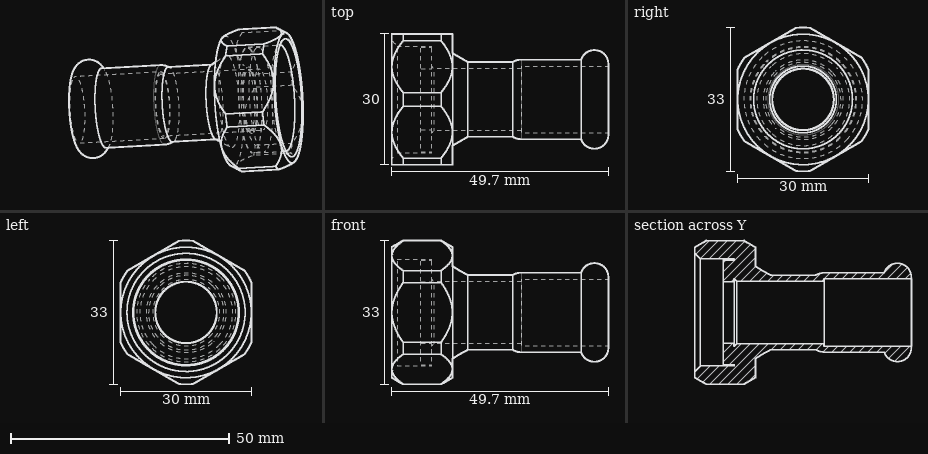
import cadquery as cq
import math

TOTAL_LENGTH = 49.7

NUT_LENGTH = 14.0
NUT_ACROSS_FLATS = 30.0
NUT_CORNER_DIAMETER = 33.0
NUT_FACE_DIAMETER = 29.9
NUT_CHAMFER_ANGLE = 30.0
NUT_BORE_DIAMETER = 24.4
NUT_MOUTH_DIAMETER = 27.1

FLANGE_DEPTH = 6.55
FLANGE_THICKNESS = 2.55
FLANGE_DIAMETER = 24.0
FLANGE_HOLE_DIAMETER = 14.0

CONE_DIAMETER = 21.15
CONE_ANGLE = 30.0
NECK_DIAMETER = 17.2
NECK_BORE_DIAMETER = 14.2
NECK_MOUTH_DIAMETER = 15.3
NECK_END = 27.8
BODY_DIAMETER = 18.3
BODY_START = 29.65
SOCKET_DIAMETER = 15.3
BEAD_DIAMETER = 22.65
BEAD_WIDTH = 6.45

FLANGE_BACK = FLANGE_DEPTH + FLANGE_THICKNESS
QUARTER_TURN = 90.0
FULL_TURN = 360.0


def disc(diameter, start, end):
    """Cylinder along X between two stations."""
    return cq.Workplane("YZ", origin=(start, 0, 0)).circle(diameter / 2).extrude(end - start)


def revolve_about_x(outline):
    """Solid of revolution about the X axis from a closed outline."""
    return outline.close().revolve(FULL_TURN, (0, 0, 0), (1, 0, 0))


def cone(start_diameter, end_diameter, start, end):
    """Truncated cone along X between two stations."""
    profile = [(start, 0), (start, start_diameter / 2), (end, end_diameter / 2), (end, 0)]
    return revolve_about_x(cq.Workplane("XY").polyline(profile))


def nut_blank():
    """Hexagon with corners on +Z and -Z, rounded at the corners and chamfered at both ends."""
    hexagon = (
        cq.Workplane("YZ")
        .transformed(rotate=(0, 0, QUARTER_TURN))
        .polygon(6, NUT_ACROSS_FLATS / math.cos(math.pi / 6))
        .extrude(NUT_LENGTH)
    )
    face_radius = NUT_FACE_DIAMETER / 2
    corner_radius = NUT_CORNER_DIAMETER / 2
    chamfer = (corner_radius - face_radius) / math.tan(math.radians(NUT_CHAMFER_ANGLE))
    envelope = revolve_about_x(
        cq.Workplane("XY")
        .polyline([
            (0, 0),
            (0, face_radius),
            (chamfer, corner_radius),
            (NUT_LENGTH - chamfer, corner_radius),
            (NUT_LENGTH, face_radius),
            (NUT_LENGTH, 0),
        ])
    )
    return hexagon.intersect(envelope)


def nut_recess():
    """Bore in front of the flange, its 45 degree mouth and the clearance around the flange rim."""
    mouth_depth = (NUT_MOUTH_DIAMETER - NUT_BORE_DIAMETER) / 2
    mouth = cone(NUT_MOUTH_DIAMETER, NUT_BORE_DIAMETER, 0, mouth_depth)
    bore = disc(NUT_BORE_DIAMETER, 0, FLANGE_BACK)
    flange = disc(FLANGE_DIAMETER, FLANGE_DEPTH, FLANGE_BACK)
    return bore.cut(flange).union(mouth)


def tail_outside():
    """Cone behind the nut, neck, rounded step and press body."""
    neck_radius = NECK_DIAMETER / 2
    body_radius = BODY_DIAMETER / 2
    cone_radius = CONE_DIAMETER / 2
    cone_end = NUT_LENGTH + (cone_radius - neck_radius) / math.tan(math.radians(CONE_ANGLE))
    body_end = TOTAL_LENGTH - BEAD_WIDTH / 2
    return revolve_about_x(
        cq.Workplane("XY")
        .moveTo(NUT_LENGTH, 0)
        .lineTo(NUT_LENGTH, cone_radius)
        .lineTo(cone_end, neck_radius)
        .lineTo(NECK_END, neck_radius)
        .threePointArc(shoulder_midpoint(neck_radius, body_radius), (BODY_START, body_radius))
        .lineTo(body_end, body_radius)
        .lineTo(body_end, 0)
    )


def shoulder_midpoint(neck_radius, body_radius):
    """Middle of the arc that leaves the neck edge and meets the body tangentially."""
    length = BODY_START - NECK_END
    rise = body_radius - neck_radius
    arc_radius = (length**2 + rise**2) / (2 * rise)
    half_angle = math.asin(length / arc_radius) / 2
    return (
        BODY_START - arc_radius * math.sin(half_angle),
        body_radius - arc_radius * (1 - math.cos(half_angle)),
    )


def bead():
    """Round bead at the open end of the press body."""
    section_radius = BEAD_WIDTH / 2
    center_x = TOTAL_LENGTH - section_radius
    center_radius = BEAD_DIAMETER / 2 - section_radius
    return revolve_about_x(
        cq.Workplane("XY")
        .moveTo(TOTAL_LENGTH, 0)
        .lineTo(TOTAL_LENGTH, center_radius)
        .threePointArc((center_x, BEAD_DIAMETER / 2), (center_x - section_radius, center_radius))
        .lineTo(center_x - section_radius, 0)
    )


def passage():
    """Through passage: flange hole, neck bore with a 45 degree mouth, and tube socket."""
    mouth_end = FLANGE_BACK + (NECK_MOUTH_DIAMETER - NECK_BORE_DIAMETER) / 2
    return (
        disc(FLANGE_HOLE_DIAMETER, 0, FLANGE_BACK)
        .union(cone(NECK_MOUTH_DIAMETER, NECK_BORE_DIAMETER, FLANGE_BACK, mouth_end))
        .union(disc(NECK_BORE_DIAMETER, mouth_end, BODY_START))
        .union(disc(SOCKET_DIAMETER, BODY_START, TOTAL_LENGTH))
    )


nut = nut_blank().cut(nut_recess())
result = nut.union(tail_outside()).union(bead()).cut(passage())